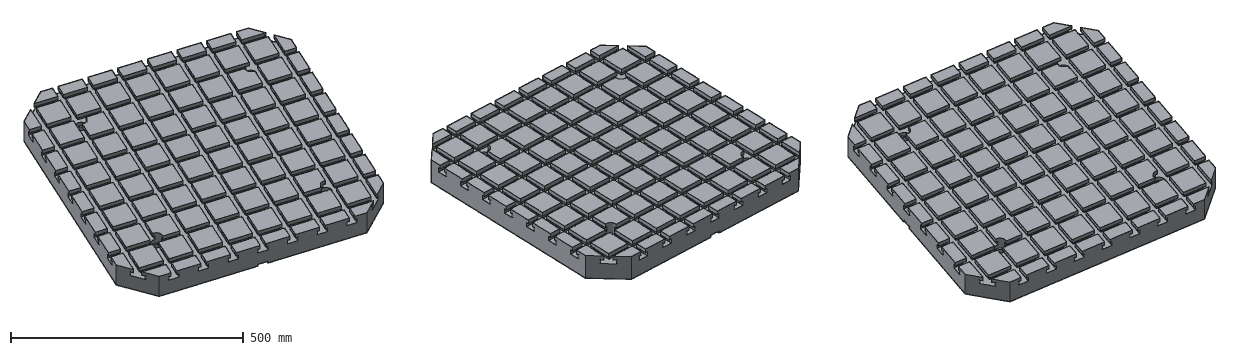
import cadquery as cq

side = 630.0
thickness = 60.0
slot_count = 9
pitch = side / slot_count
corner_clip = pitch

neck_width = 13.0
undercut_width = 24.0
neck_depth = 10.0
slot_depth = 20.0

hole_spacing = 400.0
hole_diameter = 17.5
counterbore_diameter = 26.0
counterbore_depth = 30.0

key_width = 22.5
key_height = 5.0
key_length = 31.5


def make_plate():
    return (
        cq.Workplane("XY")
        .rect(side, side)
        .extrude(thickness)
        .edges("|Z")
        .chamfer(corner_clip)
    )


def make_t_slot(offset):
    """T-slot along Y across the whole plate, centred at X = offset."""
    neck = (
        cq.Workplane("XY", origin=(offset, 0, thickness - slot_depth))
        .rect(neck_width, side)
        .extrude(slot_depth)
    )
    undercut = (
        cq.Workplane("XY", origin=(offset, 0, thickness - slot_depth))
        .rect(undercut_width, side)
        .extrude(slot_depth - neck_depth)
    )
    return neck.union(undercut)


def cut_slot_grid(body):
    for index in range(slot_count):
        slot = make_t_slot((index - (slot_count - 1) / 2) * pitch)
        body = body.cut(slot)
        body = body.cut(slot.rotate((0, 0, 0), (0, 0, 1), 90))
    return body


def cut_mounting_holes(body):
    return (
        body.copyWorkplane(cq.Workplane("XY", origin=(0, 0, thickness)))
        .rect(hole_spacing, hole_spacing, forConstruction=True)
        .vertices()
        .cboreHole(hole_diameter, counterbore_diameter, counterbore_depth)
    )


def cut_keyways(body):
    key_centers = [
        (-(side - key_length) / 2, 0),
        ((side - key_length) / 2, 0),
    ]
    keys = (
        cq.Workplane("XY")
        .pushPoints(key_centers)
        .rect(key_length, key_width)
        .extrude(key_height)
    )
    return body.cut(keys)


result = make_plate()
result = cut_slot_grid(result)
result = cut_mounting_holes(result)
result = cut_keyways(result)